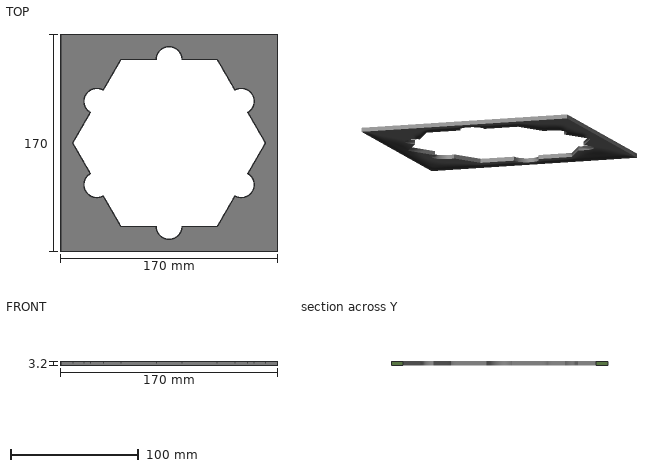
import cadquery as cq
import math

plate_side = 170.0
plate_thickness = 3.2

hexagon_corner_diameter = 150.8
hexagon_sides = 6
hexagon_apothem = hexagon_corner_diameter / 2 * math.cos(math.pi / hexagon_sides)

notch_radius = 10.0
first_notch_angle = 180 / hexagon_sides

plate = cq.Workplane("XY").rect(plate_side, plate_side).extrude(plate_thickness)

hexagon = cq.Workplane("XY").polygon(hexagon_sides, hexagon_corner_diameter).extrude(plate_thickness)

notches = (
    cq.Workplane("XY")
    .polarArray(hexagon_apothem, first_notch_angle, 360, hexagon_sides)
    .circle(notch_radius)
    .extrude(plate_thickness)
)

result = plate.cut(hexagon).cut(notches)